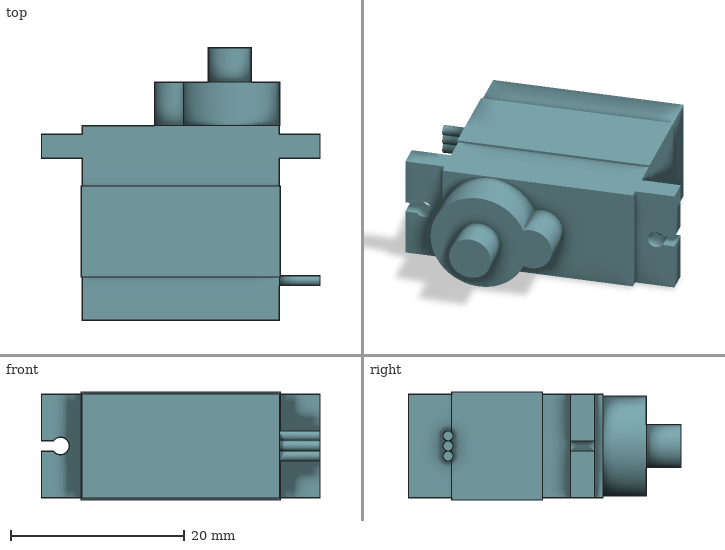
import cadquery as cq


case_length = 22.8
case_width = 12.0
case_height = 22.5
band_length = 23.0
band_width = 12.5
band_bottom = 5.0
band_height = 10.5

ear_span = 32.2
ear_bottom = 18.7
ear_top = 21.5
screw_hole_diameter = 2.0
screw_hole_offset = 13.9
slot_width = 1.2

shaft_x = 5.65
shaft_diameter = 5.0
shaft_height = 4.0
main_housing_diameter = 11.6
idler_housing_x = -0.55
idler_housing_diameter = 5.0
housing_height = 5.0

wire_count = 3
wire_diameter = 1.17
wire_bottom = 4.0
wire_embed = 1.0
wire_end_x = ear_span / 2


def block(length, bottom, height, width):
    """Box centred on X and Z that starts at the given Y."""
    return cq.Workplane("XY").box(length, height, width).translate((0, bottom + height / 2, 0))


def post(x, bottom, height, diameter):
    """Cylinder along +Y on the mid plane of the case."""
    base = cq.Workplane("XZ", origin=(x, bottom, 0))
    return base.circle(diameter / 2).extrude(-height)


def make_case():
    case = block(case_length, 0, case_height, case_width)
    return case.union(block(band_length, band_bottom, band_height, band_width))


def make_ears():
    """Plate through the case with an open keyhole slot at each end."""
    thickness = ear_top - ear_bottom
    plate = block(ear_span, ear_bottom, thickness, case_width)
    slot_length = ear_span / 2 - screw_hole_offset
    for side in (-1, 1):
        hole_x = side * screw_hole_offset
        slot = block(slot_length, ear_bottom, thickness, slot_width)
        slot = slot.translate((hole_x + side * slot_length / 2, 0, 0))
        plate = plate.cut(post(hole_x, ear_bottom, thickness, screw_hole_diameter))
        plate = plate.cut(slot)
    return plate


def make_gear_housing():
    main = post(shaft_x, case_height, housing_height, main_housing_diameter)
    idler = post(idler_housing_x, case_height, housing_height, idler_housing_diameter)
    shaft = post(shaft_x, case_height + housing_height, shaft_height, shaft_diameter)
    return main.union(idler).union(shaft)


def make_wire(index):
    """One wire, rooted inside the case and ending level with the ear."""
    start_x = case_length / 2 - wire_embed
    z = (index - (wire_count - 1) / 2) * wire_diameter
    base = cq.Workplane("YZ", origin=(start_x, wire_bottom + wire_diameter / 2, z))
    return base.circle(wire_diameter / 2).extrude(wire_end_x - start_x)


result = make_case().union(make_ears()).union(make_gear_housing())
for wire_index in range(wire_count):
    result = result.union(make_wire(wire_index))